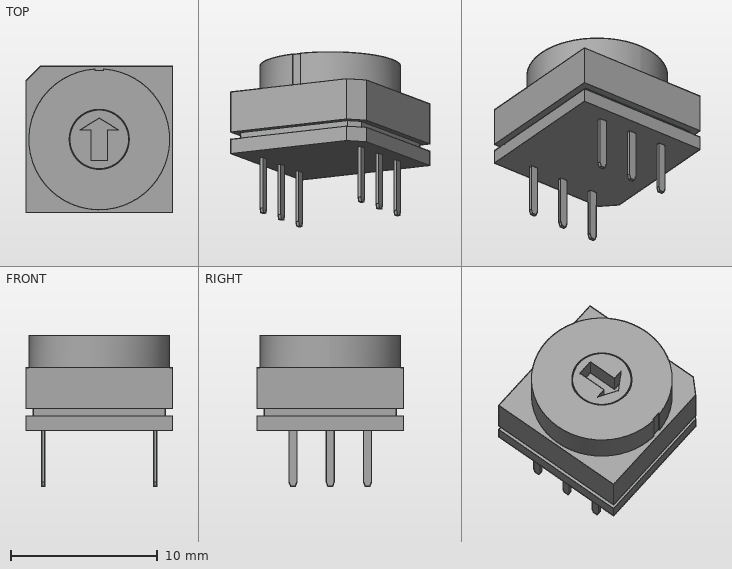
import cadquery as cq

HOUSING_SIDE = 10.0
CORNER_CHAMFER = 1.0
BASE_HEIGHT = 1.0
WAIST_HEIGHT = 0.5
WAIST_INSET = 0.5
UPPER_HEIGHT = 2.8

KNOB_DIAMETER = 9.6
KNOB_HEIGHT = 2.2
NOTCH_WIDTH = 0.6
NOTCH_DEPTH = 0.1

RING_INNER_DIAMETER = 4.0
RING_OUTER_DIAMETER = 4.1
RING_DEPTH = 0.2

ARROW_HALF_LENGTH = 1.45
ARROW_HEAD_BASE_Y = 0.65
ARROW_HEAD_WIDTH = 2.6
ARROW_SHAFT_WIDTH = 1.14
ARROW_DEPTH = 1.5

PIN_PITCH = 2.54
PINS_PER_ROW = 3
PIN_ROW_SPACING = 3 * PIN_PITCH
PIN_THICKNESS = 0.22
PIN_WIDTH = 0.55
PIN_LENGTH = 3.8
PIN_TIP_WIDTH = 0.33
PIN_TIP_HEIGHT = 0.3

WAIST_BOTTOM = BASE_HEIGHT
WAIST_TOP = WAIST_BOTTOM + WAIST_HEIGHT
HOUSING_TOP = WAIST_TOP + UPPER_HEIGHT
KNOB_TOP = HOUSING_TOP + KNOB_HEIGHT


def housing_outline(bottom):
    """Square outline with the -X, +Y corner cut off, at the given height."""
    half = HOUSING_SIDE / 2
    return (
        cq.Workplane("XY", origin=(0, 0, bottom))
        .moveTo(-half, -half)
        .lineTo(half, -half)
        .lineTo(half, half)
        .lineTo(-half + CORNER_CHAMFER, half)
        .lineTo(-half, half - CORNER_CHAMFER)
        .close()
    )


def make_housing():
    """Base plate, inset waist and upper block."""
    base = housing_outline(0).extrude(BASE_HEIGHT)
    waist = housing_outline(WAIST_BOTTOM).offset2D(-WAIST_INSET, "intersection").extrude(WAIST_HEIGHT)
    upper = housing_outline(WAIST_TOP).extrude(UPPER_HEIGHT)
    return base.union(waist).union(upper)


def make_knob():
    """Cylinder with a shallow index notch down its +Y side."""
    knob = cq.Workplane("XY", origin=(0, 0, HOUSING_TOP)).circle(KNOB_DIAMETER / 2).extrude(KNOB_HEIGHT)
    notch = (
        cq.Workplane("XY", origin=(0, KNOB_DIAMETER / 2, HOUSING_TOP))
        .rect(NOTCH_WIDTH, 2 * NOTCH_DEPTH)
        .extrude(KNOB_HEIGHT)
    )
    return knob.cut(notch)


def make_ring_groove():
    """Thin ring to remove from the knob face."""
    return (
        cq.Workplane("XY", origin=(0, 0, KNOB_TOP))
        .circle(RING_OUTER_DIAMETER / 2)
        .circle(RING_INNER_DIAMETER / 2)
        .extrude(-RING_DEPTH)
    )


def make_arrow_pocket():
    """Arrow-shaped volume to remove from the knob face."""
    half_shaft = ARROW_SHAFT_WIDTH / 2
    half_head = ARROW_HEAD_WIDTH / 2
    return (
        cq.Workplane("XY", origin=(0, 0, KNOB_TOP))
        .moveTo(-half_shaft, -ARROW_HALF_LENGTH)
        .lineTo(half_shaft, -ARROW_HALF_LENGTH)
        .lineTo(half_shaft, ARROW_HEAD_BASE_Y)
        .lineTo(half_head, ARROW_HEAD_BASE_Y)
        .lineTo(0, ARROW_HALF_LENGTH)
        .lineTo(-half_head, ARROW_HEAD_BASE_Y)
        .lineTo(-half_shaft, ARROW_HEAD_BASE_Y)
        .close()
        .extrude(-ARROW_DEPTH)
    )


def make_pin(x, y):
    """Flat pin hanging below the base, with its tip tapered across Y."""
    half_width = PIN_WIDTH / 2
    half_tip = PIN_TIP_WIDTH / 2
    shoulder = PIN_TIP_HEIGHT - PIN_LENGTH
    return (
        cq.Workplane("YZ", origin=(x, y, 0))
        .moveTo(-half_width, 0)
        .lineTo(-half_width, shoulder)
        .lineTo(-half_tip, -PIN_LENGTH)
        .lineTo(half_tip, -PIN_LENGTH)
        .lineTo(half_width, shoulder)
        .lineTo(half_width, 0)
        .close()
        .extrude(PIN_THICKNESS / 2, both=True)
    )


result = make_housing().union(make_knob())
result = result.cut(make_ring_groove()).cut(make_arrow_pocket())

for row_x in (-PIN_ROW_SPACING / 2, PIN_ROW_SPACING / 2):
    for index in range(PINS_PER_ROW):
        pin_y = (index - (PINS_PER_ROW - 1) / 2) * PIN_PITCH
        result = result.union(make_pin(row_x, pin_y))